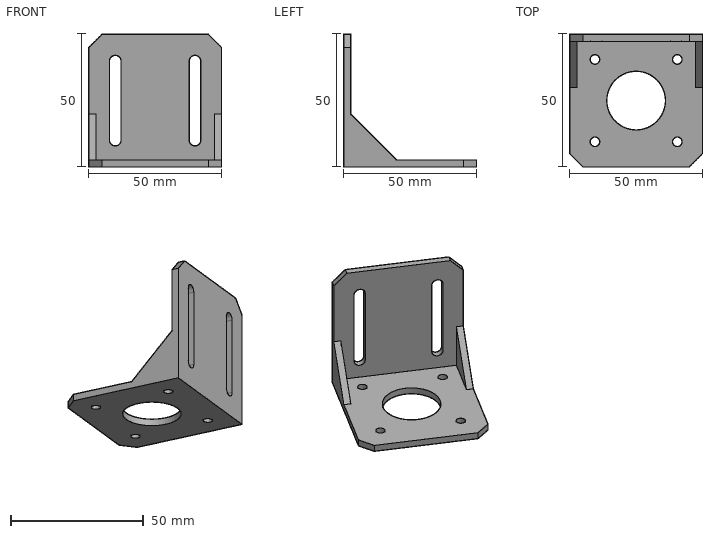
import cadquery as cq

side = 50.0
thickness = 2.7
corner_chamfer = 5.0
gusset_reach = 20.0

pilot_diameter = 22.0
screw_diameter = 3.5
screw_spacing = 31.0

slot_width = 4.3
slot_length = 34.0
slot_spacing = 30.0

half_side = side / 2
inner_face_y = half_side - thickness


def base_plate():
    """Horizontal plate with its two front corners cut off, bored for the motor."""
    plate = cq.Workplane("XY").box(side, side, thickness, centered=(True, True, False))
    plate = plate.edges("|Z and <Y").chamfer(corner_chamfer)
    plate = plate.faces(">Z").workplane(origin=(0, 0, thickness)).hole(pilot_diameter)
    return (
        plate.faces(">Z")
        .workplane(origin=(0, 0, thickness))
        .rect(screw_spacing, screw_spacing, forConstruction=True)
        .vertices()
        .hole(screw_diameter)
    )


def back_plate():
    """Vertical plate with its two top corners cut off and two upright slots."""
    plate = (
        cq.Workplane("XY")
        .box(side, thickness, side, centered=(True, False, False))
        .translate((0, inner_face_y, 0))
        .edges("|Y and >Z")
        .chamfer(corner_chamfer)
    )
    slots = (
        cq.Workplane("XZ", origin=(0, half_side, half_side))
        .pushPoints([(-slot_spacing / 2, 0), (slot_spacing / 2, 0)])
        .slot2D(slot_length, slot_width, 90)
        .extrude(thickness)
    )
    return plate.cut(slots)


def gusset(left_x):
    """Corner brace whose sloping edge joins the inner faces of the two plates."""
    return (
        cq.Workplane("YZ", origin=(left_x, 0, 0))
        .moveTo(half_side, 0)
        .lineTo(half_side, gusset_reach)
        .lineTo(inner_face_y, gusset_reach)
        .lineTo(half_side - gusset_reach, thickness)
        .lineTo(half_side - gusset_reach, 0)
        .close()
        .extrude(thickness)
    )


result = base_plate().union(back_plate())
for gusset_left_x in (-half_side, half_side - thickness):
    result = result.union(gusset(gusset_left_x))
result = result.clean()